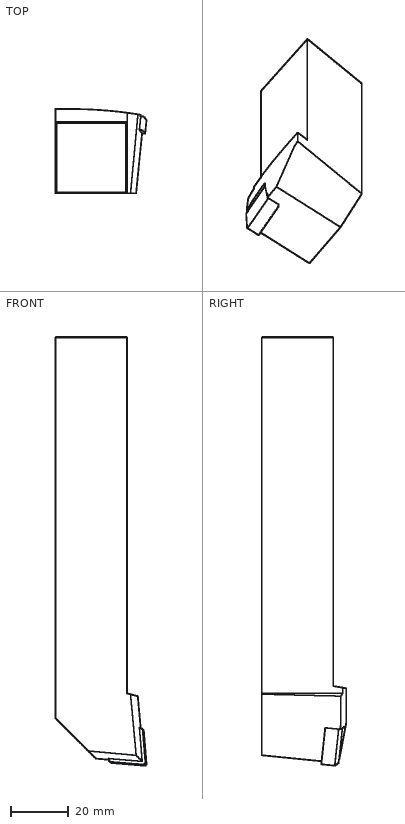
import cadquery as cq
import math

LENGTH = 150.0
SHANK = 25.0
TOP_CHAMFER = 0.5

HEAD_DEPTH = 29.5
HEAD_REACH = 33.0
BEVEL_HEIGHT = 16.7
SIDE_ROOF_Z = 25.4
SIDE_ROOF_ANGLE = 15.0
BACK_ROOF_Z = 27.9
BACK_ROOF_ANGLE = 10.0
BACK_RADIUS = 150.0
BACK_CURVE_X = 5.3
RAKE_Z = 14.9
RAKE_ANGLE = 10.8

INSERT_ANGLE = 80.0
INSERT_EDGE = 12.9
INSERT_THICKNESS = 4.8
INSERT_RADIUS = 0.8
INSERT_OVERHANG = 1.0
INSERT_LEAN = 0.1
TIP_X = 32.0
TIP_Y = 25.5
TIP_Z = -0.08

CLEARANCE = 60.0
HALF_ANGLE = math.radians(INSERT_ANGLE / 2)

insert_plane = cq.Plane(
    origin=(TIP_X, TIP_Y, TIP_Z),
    xDir=(-1, 2 * INSERT_LEAN, 1),
    normal=(INSERT_LEAN, 1, -INSERT_LEAN),
)


def rhombus(edge, start=0.0):
    """80 degree rhombus with its sharp corner at local X = start."""
    half_length = edge * math.cos(HALF_ANGLE)
    half_width = edge * math.sin(HALF_ANGLE)
    return (
        cq.Workplane(insert_plane)
        .moveTo(start, 0)
        .lineTo(start + half_length, half_width)
        .lineTo(start + 2 * half_length, 0)
        .lineTo(start + half_length, -half_width)
        .close()
    )


def rounded_plate(thickness):
    """Insert outline extruded along the insert axis, with rounded corners."""
    along_axis = cq.selectors.ParallelDirSelector(insert_plane.zDir)
    plate = rhombus(INSERT_EDGE).extrude(thickness)
    return plate.edges(along_axis).fillet(INSERT_RADIUS)


def make_shank():
    bar = (
        cq.Workplane("XY", origin=(0, 0, SIDE_ROOF_Z))
        .box(SHANK, SHANK, LENGTH - SIDE_ROOF_Z, centered=False)
    )
    return bar.faces(">Z").chamfer(TOP_CHAMFER)


def side_profile():
    """Head in XZ: bevelled heel, sloping +X step, and the part behind the shank."""
    side_drop = (HEAD_REACH - SHANK) * math.tan(math.radians(SIDE_ROOF_ANGLE))
    return (
        cq.Workplane("XZ")
        .moveTo(0, BEVEL_HEIGHT)
        .lineTo(BEVEL_HEIGHT, 0)
        .lineTo(HEAD_REACH, 0)
        .lineTo(HEAD_REACH, SIDE_ROOF_Z - side_drop)
        .lineTo(SHANK, SIDE_ROOF_Z)
        .lineTo(SHANK, BACK_ROOF_Z)
        .lineTo(0, BACK_ROOF_Z)
        .close()
        .extrude(-HEAD_DEPTH)
    )


def back_profile():
    """Head in YZ: sloping +Y step and the raked lower back face."""
    roof_drop = (HEAD_DEPTH - SHANK) * math.tan(math.radians(BACK_ROOF_ANGLE))
    rake_depth = RAKE_Z * math.tan(math.radians(RAKE_ANGLE))
    return (
        cq.Workplane("YZ")
        .moveTo(0, 0)
        .lineTo(HEAD_DEPTH - rake_depth, 0)
        .lineTo(HEAD_DEPTH, RAKE_Z)
        .lineTo(HEAD_DEPTH, BACK_ROOF_Z - roof_drop)
        .lineTo(SHANK, BACK_ROOF_Z)
        .lineTo(0, BACK_ROOF_Z)
        .close()
        .extrude(HEAD_REACH)
    )


def curve_y(x):
    """Y of the curved back face at a given X."""
    run = x - BACK_CURVE_X
    return HEAD_DEPTH - BACK_RADIUS + math.sqrt(BACK_RADIUS**2 - run**2)


def plan_profile():
    """Head in XY, with the back face curving forward towards +X."""
    middle_x = (BACK_CURVE_X + HEAD_REACH) / 2
    return (
        cq.Workplane("XY")
        .lineTo(HEAD_REACH, 0)
        .lineTo(HEAD_REACH, curve_y(HEAD_REACH))
        .threePointArc((middle_x, curve_y(middle_x)), (BACK_CURVE_X, HEAD_DEPTH))
        .lineTo(0, HEAD_DEPTH)
        .close()
        .extrude(BACK_ROOF_Z)
    )


def make_head():
    setback = INSERT_OVERHANG / math.sin(HALF_ANGLE)
    flanks = rhombus(CLEARANCE, setback).extrude(CLEARANCE, both=True)
    return side_profile().intersect(back_profile()).intersect(plan_profile()).intersect(flanks)


def make_holder():
    pocket = rounded_plate(CLEARANCE).translate(insert_plane.zDir * -INSERT_THICKNESS)
    return make_shank().union(make_head()).cut(pocket)


def make_insert():
    return rounded_plate(-INSERT_THICKNESS)


holder = make_holder()
insert = make_insert()
result = cq.Compound.makeCompound([holder.val(), insert.val()])